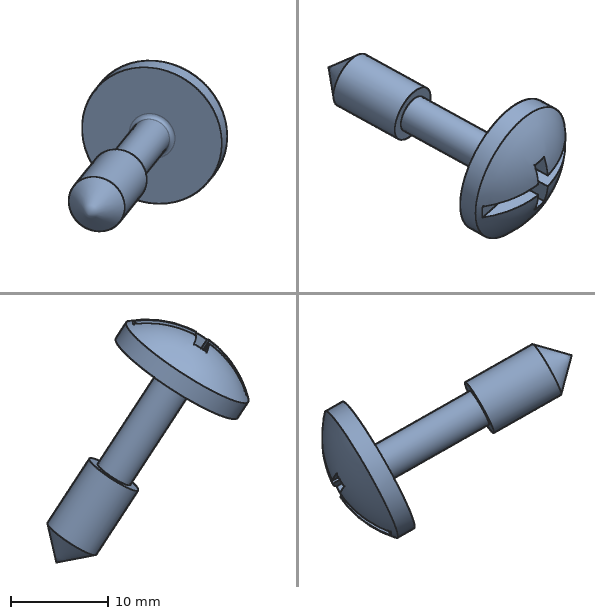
import cadquery as cq

head_diameter = 15.0
rim_height = 2.0
dome_height = 3.02
neck_diameter = 4.0
neck_length = 12.0
neck_fillet = 0.45
shank_diameter = 6.0
shank_length = 8.0
point_length = 3.0
slot_width = 1.57
slot_depth = 2.5
cross_slot_length = 6.43

head_radius = head_diameter / 2
neck_radius = neck_diameter / 2
shank_radius = shank_diameter / 2

dome_base = rim_height
dome_top = dome_base + dome_height
shank_top = -neck_length
shank_bottom = shank_top - shank_length
tip = shank_bottom - point_length

dome_radius = (head_radius**2 + dome_height**2) / (2 * dome_height)
dome_center = dome_top - dome_radius
dome_mid_radius = head_radius / 2
dome_mid = dome_center + (dome_radius**2 - dome_mid_radius**2) ** 0.5

head_top = dome_center + (dome_radius**2 - 2 * (slot_width / 2) ** 2) ** 0.5


def turned_body():
    """Revolve the half profile of head, neck, shank and conical point."""
    fillet_center_radius = neck_radius + neck_fillet
    fillet_mid_offset = neck_fillet * 0.5**0.5
    return (
        cq.Workplane("XY")
        .moveTo(0, tip)
        .lineTo(shank_radius, shank_bottom)
        .lineTo(shank_radius, shank_top)
        .lineTo(neck_radius, shank_top)
        .lineTo(neck_radius, -neck_fillet)
        .threePointArc(
            (fillet_center_radius - fillet_mid_offset, -neck_fillet + fillet_mid_offset),
            (fillet_center_radius, 0),
        )
        .lineTo(head_radius, 0)
        .lineTo(head_radius, dome_base)
        .threePointArc((dome_mid_radius, dome_mid), (0, dome_top))
        .close()
        .revolve(360, (0, 0, 0), (0, 1, 0))
    )


def slot(length_x, length_z):
    """Cutter reaching down from the head top and out past the dome apex."""
    floor = head_top - slot_depth
    return cq.Workplane("XY").box(
        length_x, dome_top - floor, length_z, centered=(True, False, True)
    ).translate((0, floor, 0))


main_slot = slot(head_diameter, slot_width)
cross_slot = slot(slot_width, cross_slot_length)

result = turned_body().cut(main_slot).cut(cross_slot)